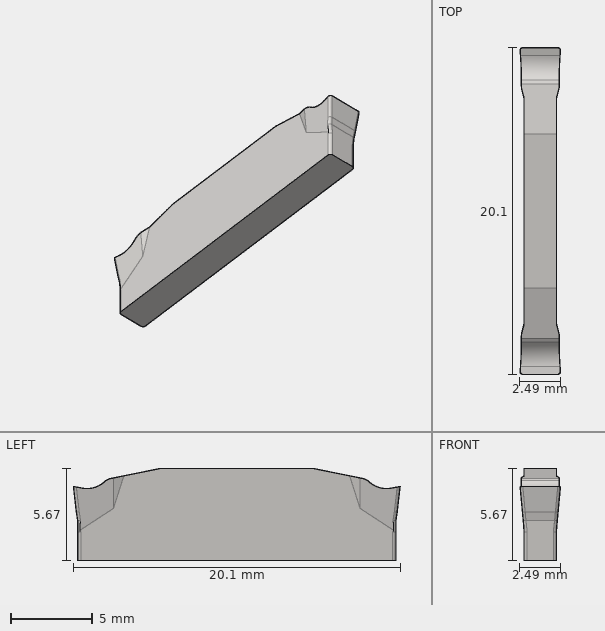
import cadquery as cq
import math

length = 20.12
height = 5.67
body_width = 2.01
half_length = length / 2
half_body = body_width / 2

shank_end_y = 9.8
shank_top_z = 2.47
overhang_y = 9.88
overhang_top_z = 3.0
tip_z = 4.57

land_inner_y = 9.58
land_inner_z = 4.49
groove_mid_y = 8.95
groove_mid_z = 4.47
groove_inner_y = 8.07
groove_inner_z = 4.93
step_inner_y = 7.83
step_inner_z = 5.05
flat_half_length = 4.75

cheek_corner_y = 7.59
cheek_corner_z = 3.22
cheek_low_y = shank_end_y
cheek_low_z = 1.77
cheek_back_y = 6.96
cheek_back_z = 5.17
cheek_ridge_z = 5.05
cheek_ridge_rise = 0.157
cheek_reach = 6.0

corner_radius = 0.2
blank_width = 4.02


def half_blank():
    """Side profile of the +Y half, extruded wider than the finished part."""
    return (
        cq.Workplane("YZ")
        .lineTo(shank_end_y, 0)
        .lineTo(shank_end_y, shank_top_z)
        .lineTo(overhang_y, overhang_top_z)
        .lineTo(half_length, tip_z)
        .lineTo(land_inner_y, land_inner_z)
        .threePointArc((groove_mid_y, groove_mid_z), (groove_inner_y, groove_inner_z))
        .lineTo(step_inner_y, step_inner_z)
        .lineTo(flat_half_length, height)
        .lineTo(0, height)
        .close()
        .extrude(blank_width / 2, both=True)
    )


def cheek():
    """Tetrahedron on the +X body side whose two outer planes form the flare."""
    corner = cq.Vector(half_body, cheek_corner_y, cheek_corner_z)
    low = cq.Vector(half_body, cheek_low_y, cheek_low_z)
    back = cq.Vector(half_body, cheek_back_y, cheek_back_z)
    ridge = cq.Vector(half_body + cheek_ridge_rise, cheek_corner_y, cheek_ridge_z)
    far_low, far_back, far_ridge = [
        corner + (point - corner) * cheek_reach for point in (low, back, ridge)
    ]
    triangles = (
        (corner, far_low, far_back),
        (corner, far_low, far_ridge),
        (corner, far_back, far_ridge),
        (far_low, far_back, far_ridge),
    )
    faces = [cq.Face.makeFromWires(cq.Wire.makePolygon(list(t), close=True)) for t in triangles]
    return cq.Workplane(cq.Solid.makeSolid(cq.Shell.makeShell(faces)).fix())


def half_width(y, z):
    """Half width of the flared head at a point of its end."""
    rise_per_z = cheek_ridge_rise / (cheek_ridge_z - cheek_corner_z)
    low_edge_slope = (cheek_corner_z - cheek_low_z) / (cheek_low_y - cheek_corner_y)
    low_edge_z = cheek_low_z + low_edge_slope * (cheek_low_y - y)
    return half_body + rise_per_z * max(0, z - low_edge_z)


def corner_section(y, z):
    """Waste outside the rounded corner at one height, on the +X side."""
    side_x = half_width(y, z)
    diagonal = corner_radius * (1 - math.sqrt(0.5))
    arc_start = (half_width(y - corner_radius, z), y - corner_radius)
    arc_middle = (side_x - diagonal, y - diagonal)
    arc_end = (side_x - corner_radius, y)
    outer_x = side_x + corner_radius
    outer_y = y + corner_radius
    return (
        cq.Workplane(origin=(0, 0, z))
        .moveTo(*arc_start)
        .threePointArc(arc_middle, arc_end)
        .lineTo(arc_end[0], outer_y)
        .lineTo(outer_x, outer_y)
        .lineTo(outer_x, arc_start[1])
        .close()
        .val()
    )


def corner_waste():
    """Waste along the whole end corner, bent wherever the corner edge bends."""
    clearance_slope = (half_length - overhang_y) / (tip_z - overhang_top_z)
    above_tip_y = half_length + clearance_slope * (height - tip_z)
    levels = (
        (shank_end_y, 0),
        (shank_end_y, cheek_low_z),
        (shank_end_y, shank_top_z),
        (overhang_y, overhang_top_z),
        (above_tip_y, height),
    )
    sections = [corner_section(y, z) for y, z in levels]
    return cq.Workplane(cq.Solid.makeLoft(sections, True))


def half_insert():
    """The +Y half with its flared head and rounded end corners."""
    body = cq.Workplane().box(body_width, 2 * length, 2 * height)
    envelope = body.union(cheek()).union(cheek().mirror("YZ"))
    waste = corner_waste()
    return half_blank().intersect(envelope).cut(waste).cut(waste.mirror("YZ"))


far_half = half_insert()
result = far_half.union(far_half.mirror("XZ")).clean()